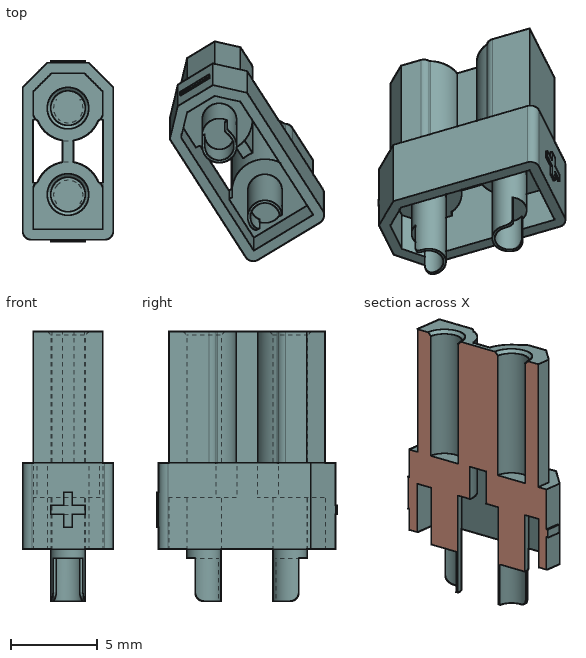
import cadquery as cq


total_height = 15.6
housing_height = 4.99
cup_length = 3.01
post_height = total_height - cup_length
tower_height = post_height - housing_height

housing_width = 5.25
housing_length = 10.25
housing_chamfer = 1.44
housing_corner_radius = 0.53
wall = 0.61
slot_length = 3.62
well_depth = 3.0

post_width = housing_width - 2 * wall
post_end = housing_length / 2 - wall
post_chamfer = 1.08
post_inner_face = 1.72
post_inner_radius = 0.5
lobe_radius = 1.9
lobe_blend_radius = 0.19
pole_offset = 2.5
web_thickness = 0.64

bore_radius = 1.0
bore_lead_in = 0.2
bore_depth = tower_height

cup_radius = 1.0
cup_bore_radius = 0.85
cup_collar = 0.51
cup_lip_offset = 0.5

mark_length = 2.0
mark_stroke = 0.5
mark_relief = 0.101
mark_drop = 0.22
mark_height = housing_height / 2 - mark_drop


def keyed_block(width, y_min, y_max, z_min, z_max, chamfer):
    """Block with its two +Y vertical edges chamfered."""
    block = cq.Workplane("XY").box(width, y_max - y_min, z_max - z_min, centered=(True, False, False))
    return block.translate((0, y_min, z_min)).edges("|Z and >Y").chamfer(chamfer)


def add_lobe(block, pole_y):
    """Join a round lobe to a post and blend the two concave joints."""
    lobe = cq.Workplane("XY").workplane(offset=well_depth).center(0, pole_y)
    lobe = lobe.circle(lobe_radius).extrude(post_height - well_depth)
    post = block.union(lobe)
    joint_reach = abs(pole_y) - post_inner_face
    joints = cq.selectors.BoxSelector(
        (-lobe_radius, pole_y - joint_reach, 0),
        (lobe_radius, pole_y + joint_reach, post_height),
    )
    return post.edges("|Z").edges(joints).fillet(lobe_blend_radius)


def housing():
    """Outer shell with a well open at the bottom and a slot from the well to the top."""
    half_length = housing_length / 2
    shell = keyed_block(housing_width, -half_length, half_length, 0, housing_height, housing_chamfer)
    shell = shell.edges("|Z and <Y").fillet(housing_corner_radius)
    slot = cq.Workplane("XY").rect(post_width, slot_length).extrude(housing_height)
    well = keyed_block(post_width, -post_end, post_end, 0, well_depth, post_chamfer)
    return shell.cut(slot).cut(well)


def keyed_post():
    """+Y post, with chamfered outer corners."""
    block = keyed_block(
        post_width, post_inner_face, post_end, well_depth, post_height, post_chamfer
    )
    return add_lobe(block.edges("|Z and <Y").fillet(post_inner_radius), pole_offset)


def square_post():
    """-Y post, with sharp outer corners."""
    block = cq.Workplane("XY").box(
        post_width, post_end - post_inner_face, post_height - well_depth,
        centered=(True, False, False),
    )
    block = block.translate((0, -post_end, well_depth))
    return add_lobe(block.edges("|Z and >Y").fillet(post_inner_radius), -pole_offset)


def web():
    """Wall joining the two posts above the housing."""
    plate = cq.Workplane("XY").box(
        web_thickness, 2 * pole_offset, tower_height, centered=(True, True, False)
    )
    return plate.translate((0, 0, housing_height))


def socket_bore():
    """Cutter on the Z axis for one blind bore with a 45 degree lead-in."""
    bore = cq.Workplane("XY").workplane(offset=post_height - bore_depth)
    bore = bore.circle(bore_radius).extrude(bore_depth)
    lead_in = cq.Solid.makeCone(
        bore_radius, bore_radius + bore_lead_in, bore_lead_in,
        pnt=cq.Vector(0, 0, post_height - bore_lead_in),
    )
    return bore.union(cq.Workplane(lead_in))


def solder_cup():
    """Pin on the Z axis from the well roof down to a cup opened on its -Y side."""
    tube_length = cup_length - cup_collar
    cup_tip = cq.Workplane("XY").workplane(offset=-cup_length)
    cup = cup_tip.circle(cup_radius).extrude(cup_length + well_depth)
    cup = cup.cut(cup_tip.circle(cup_bore_radius).extrude(tube_length))

    corner_z = -cup_length + cup_lip_offset
    opening = (
        cq.Workplane("YZ")
        .moveTo(-cup_radius, -cup_collar)
        .lineTo(-cup_lip_offset, -cup_collar)
        .lineTo(-cup_lip_offset, corner_z)
        .radiusArc((0, -cup_length), -cup_lip_offset)
        .lineTo(-cup_radius, -cup_length)
        .close()
        .extrude(cup_radius, both=True)
    )
    return cup.cut(opening)


def mark_bar(x_size, z_size, side):
    """One raised bar on the +Y (side = 1) or -Y (side = -1) end face."""
    bar = cq.Workplane("XY").box(x_size, 2 * mark_relief, z_size)
    return bar.translate((0, side * housing_length / 2, mark_height))


result = housing().union(keyed_post()).union(square_post()).union(web())

for side in (-1, 1):
    result = result.cut(socket_bore().translate((0, side * pole_offset, 0)))

front_cup = solder_cup().translate((0, -pole_offset, 0))
result = result.union(front_cup).union(front_cup.mirror("XZ"))

result = result.union(mark_bar(mark_length, mark_stroke, -1))
result = result.union(mark_bar(mark_stroke, mark_length, -1))
result = result.union(mark_bar(mark_length, mark_stroke, 1))